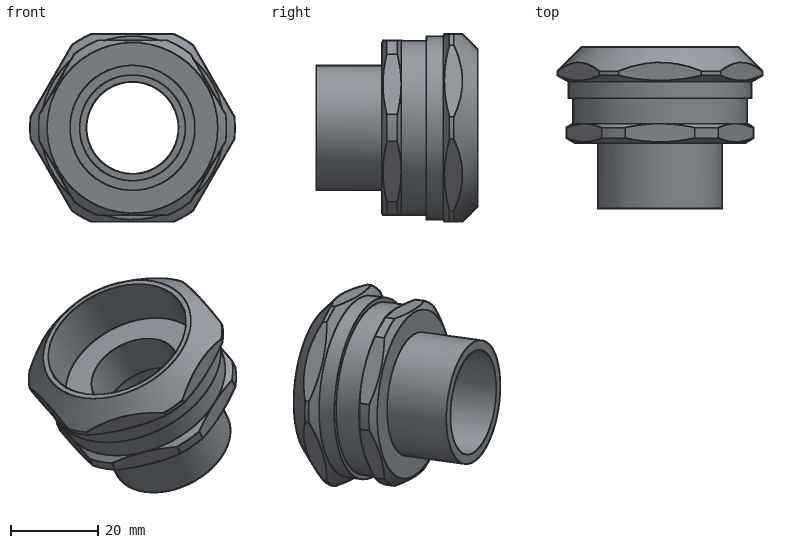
import cadquery as cq
import math


tube_end = 15.05
small_hex_end = 19.45
body_end = 25.25
collar_end = 29.1
overall_length = 37.0

tube_diameter = 28.6
body_diameter = 40.0
collar_diameter = 42.0

small_hex_flats = body_diameter
small_hex_corners = 43.05
small_hex_front_diameter = 39.05
large_hex_flats = 43.0
large_hex_corners = 47.0
large_hex_rear_diameter = 35.95

corner_chamfer_angle = 30.0
rear_cone_angle = 45.0

through_diameter = 21.0
front_bore_diameter = 24.2
front_bore_depth = tube_end
rear_bore_diameter = 33.5
rear_bore_depth = overall_length - body_end


def cylinder(diameter, start, end):
    """Cylinder on the Y axis between two stations."""
    plane = cq.Workplane("XZ", origin=(0, start, 0))
    return plane.circle(diameter / 2).extrude(start - end)


def cone_height(wide_diameter, narrow_diameter, angle):
    """Axial height of a cone between two diameters."""
    return (wide_diameter - narrow_diameter) / 2 * math.tan(math.radians(angle))


def chamfered_hex(flats, corners, start, end, front_diameter, rear_diameter, rear_angle):
    """Hexagonal prism with flats at +Z and -Z, its corners turned round and coned at both ends."""
    prism = (
        cq.Workplane("XZ", origin=(0, start, 0))
        .transformed(rotate=(0, 0, 30))
        .polygon(6, flats, circumscribed=True)
        .extrude(start - end)
    )
    front_height = cone_height(corners, front_diameter, corner_chamfer_angle)
    rear_height = cone_height(corners, rear_diameter, rear_angle)
    turned_envelope = (
        cq.Workplane("XY")
        .moveTo(0, start)
        .lineTo(front_diameter / 2, start)
        .lineTo(corners / 2, start + front_height)
        .lineTo(corners / 2, end - rear_height)
        .lineTo(rear_diameter / 2, end)
        .lineTo(0, end)
        .close()
        .revolve(360, (0, 0), (0, 1))
    )
    return prism.intersect(turned_envelope)


tube = cylinder(tube_diameter, 0, tube_end)
small_hex = chamfered_hex(
    small_hex_flats,
    small_hex_corners,
    tube_end,
    small_hex_end,
    small_hex_front_diameter,
    body_diameter,
    corner_chamfer_angle,
)
body = cylinder(body_diameter, small_hex_end, body_end)
collar = cylinder(collar_diameter, body_end, collar_end)
large_hex = chamfered_hex(
    large_hex_flats,
    large_hex_corners,
    collar_end,
    overall_length,
    collar_diameter,
    large_hex_rear_diameter,
    rear_cone_angle,
)
outside = tube.union(small_hex).union(body).union(collar).union(large_hex)

through_bore = cylinder(through_diameter, 0, overall_length)
front_bore = cylinder(front_bore_diameter, 0, front_bore_depth)
rear_bore = cylinder(rear_bore_diameter, overall_length - rear_bore_depth, overall_length)

result = outside.cut(through_bore).cut(front_bore).cut(rear_bore)